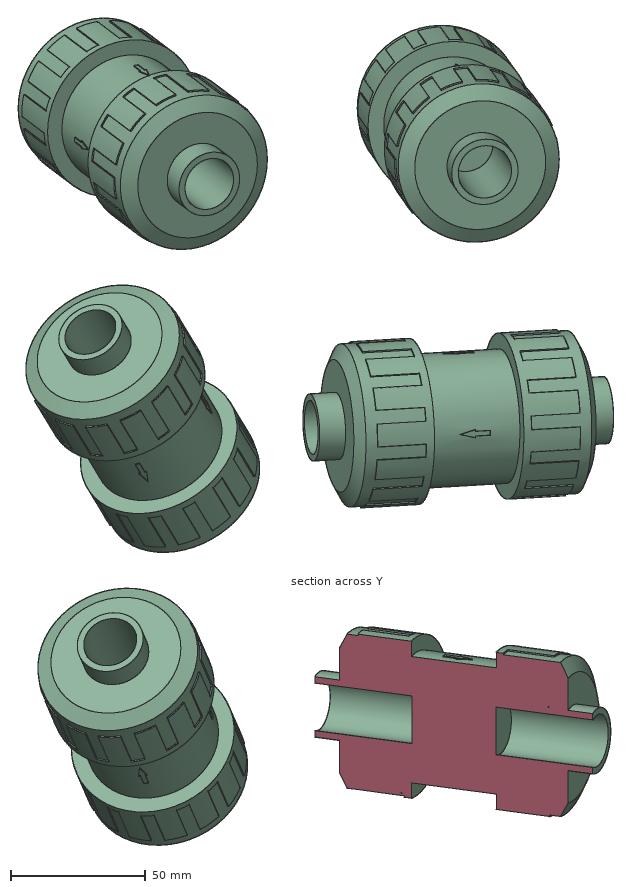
import cadquery as cq
import math

length = 113.0
nut_diameter = 62.0
nut_radius = nut_diameter / 2

spigot_radius = 12.5
bore_radius = 10.1

body_radius = 25.1

nut_inner_face = 17.2
grip_inner_end = 20.2
grip_outer_end = 39.0
bevel_start = 43.4
nut_outer_face = 46.5
nut_face_radius = 24.7

groove_count = 14
groove_depth = 0.6
groove_angle = 9.6
first_groove_angle = -7.7
groove_floor_radius = nut_radius - groove_depth

arrow_count = 4
arrow_length = 11.5
arrow_head_length = 5.9
arrow_head_width = 3.2
arrow_shaft_width = 1.8
arrow_height = 0.3

bore_depth = length / 2 - nut_inner_face


def x_cylinder(radius, start, end):
    """Solid cylinder around the X axis from x = start to x = end."""
    return cq.Workplane("YZ").workplane(offset=start).circle(radius).extrude(end - start)


def groove_wedge(angle):
    """Wedge from the axis out past the nut, centred on an angle measured from +Y towards +Z."""
    reach = 2 * nut_radius
    corners = [(0, 0)]
    for side in (-1, 1):
        turn = math.radians(angle + side * groove_angle / 2)
        corners.append((reach * math.cos(turn), reach * math.sin(turn)))
    wedge = cq.Workplane("YZ").workplane(offset=grip_inner_end).polyline(corners).close()
    return wedge.extrude(grip_outer_end - grip_inner_end)


def make_nut():
    """Union nut on the +X side, with a bevelled outer end and open-ended grip grooves."""
    profile = [
        (nut_inner_face, 0),
        (nut_inner_face, groove_floor_radius),
        (bevel_start, groove_floor_radius),
        (nut_outer_face, nut_face_radius),
        (nut_outer_face, 0),
    ]
    core = cq.Workplane("XY").polyline(profile).close().revolve(360, (0, 0, 0), (1, 0, 0))

    sleeve = x_cylinder(nut_radius, nut_inner_face, grip_outer_end)
    sleeve = sleeve.cut(x_cylinder(body_radius, nut_inner_face, grip_outer_end))
    pitch = 360 / groove_count
    for index in range(groove_count):
        sleeve = sleeve.cut(groove_wedge(first_groove_angle + index * pitch))
    return core.union(sleeve)


def make_arrow():
    """Flow arrow on the +Z side pointing to +X, rounded to stand evenly proud of the body."""
    tip = arrow_length / 2
    head_base = tip - arrow_head_length
    outline = [
        (-tip, -arrow_shaft_width / 2),
        (head_base, -arrow_shaft_width / 2),
        (head_base, -arrow_head_width / 2),
        (tip, 0),
        (head_base, arrow_head_width / 2),
        (head_base, arrow_shaft_width / 2),
        (-tip, arrow_shaft_width / 2),
    ]
    prism = cq.Workplane("XY").polyline(outline).close().extrude(nut_radius)
    return prism.intersect(x_cylinder(body_radius + arrow_height, -tip, tip))


result = x_cylinder(spigot_radius, -length / 2, length / 2)
result = result.union(x_cylinder(body_radius, -nut_inner_face, nut_inner_face))
nut = make_nut()
result = result.union(nut)
result = result.union(nut.rotate((0, 0, 0), (0, 0, 1), 180))

arrow = make_arrow()
for index in range(arrow_count):
    result = result.union(arrow.rotate((0, 0, 0), (1, 0, 0), index * 360 / arrow_count))

result = result.cut(x_cylinder(bore_radius, -length / 2, bore_depth - length / 2))
result = result.cut(x_cylinder(bore_radius, length / 2 - bore_depth, length / 2))